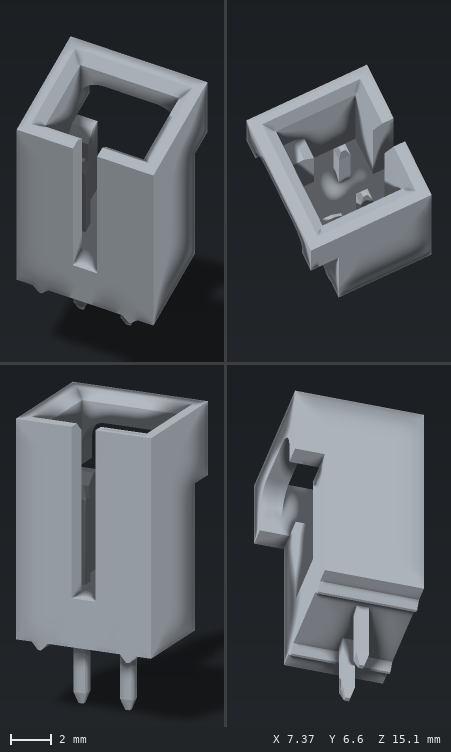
import cadquery as cq

WIDTH = 7.37
DEPTH = 6.6
HEIGHT = 11.42
OVERHANG = 1.53
HEAD_HEIGHT = 3.81
BODY_DEPTH = DEPTH - OVERHANG
LEDGE_Z = HEIGHT - HEAD_HEIGHT

CAVITY_WIDTH = 5.32
WALL = 1.13
CAVITY_DEPTH = DEPTH - 2 * WALL
FLOOR_Z = 2.54
FLARE_OUT = 0.51
FLARE_HEIGHT = 0.48

SLOT_WIDTH = 1.3
LINTEL_HEIGHT = 1.51
WINDOW_RADIUS = 1.3
WINDOW_TOP = HEIGHT - LINTEL_HEIGHT

POST_WIDTH = 1.1
POST_DEPTH = 1.15
POST_CHAMFER = 0.53

PIN_PITCH = 2.54
PIN_SIZE = 0.63
PIN_Y = 2.52
PIN_BOTTOM = HEIGHT - 15.11
PIN_TOP = 7.55
TIP_SIZE = 0.24
TIP_LENGTH = 0.6

RIB_SPACING = 4.8
RIB_WIDTH = 0.85
RIB_TIP_WIDTH = 0.15
RIB_HEIGHT = 0.4


def block(width, y_min, y_max, z_min, z_max, x_center=0):
    """Box centred on x_center, spanning the given y and z ranges."""
    return (
        cq.Workplane("XY")
        .box(width, y_max - y_min, z_max - z_min, centered=(True, False, False))
        .translate((x_center, y_min, z_min))
    )


def make_shell():
    """Stepped outer body hollowed out by the cavity and its flared mouth."""
    body = block(WIDTH, 0, BODY_DEPTH, 0, HEIGHT)
    body = body.union(block(WIDTH, 0, DEPTH, LEDGE_Z, HEIGHT))
    cavity = block(CAVITY_WIDTH, WALL, DEPTH - WALL, FLOOR_Z, HEIGHT)
    flare = (
        cq.Workplane("XY", origin=(0, DEPTH / 2, HEIGHT - FLARE_HEIGHT))
        .rect(CAVITY_WIDTH, CAVITY_DEPTH)
        .workplane(offset=FLARE_HEIGHT)
        .rect(CAVITY_WIDTH + 2 * FLARE_OUT, CAVITY_DEPTH + 2 * FLARE_OUT)
        .loft(ruled=True)
    )
    return body.cut(cavity).cut(flare)


def make_openings():
    """Front polarising slot and the round-cornered window in the back."""
    slot = block(SLOT_WIDTH, 0, WALL, FLOOR_Z, HEIGHT)
    window = block(CAVITY_WIDTH, DEPTH / 2, DEPTH, FLOOR_Z, WINDOW_TOP)
    window = window.faces(">Z").edges("|Y").fillet(WINDOW_RADIUS)
    return slot.union(window)


def make_post(side):
    """Rear corner post, with its upper front edge bevelled."""
    x_center = side * (CAVITY_WIDTH - POST_WIDTH) / 2
    post = block(POST_WIDTH, BODY_DEPTH - POST_DEPTH, BODY_DEPTH, FLOOR_Z, LEDGE_Z, x_center)
    return post.faces("<Y").edges(">Z").chamfer(POST_CHAMFER)


def make_tip(x, z_base, direction):
    """Tapered pin end pointing up (direction 1) or down (direction -1)."""
    return (
        cq.Workplane("XY", origin=(x, PIN_Y, z_base))
        .rect(PIN_SIZE, PIN_SIZE)
        .workplane(offset=direction * TIP_LENGTH)
        .rect(TIP_SIZE, TIP_SIZE)
        .loft(ruled=True)
    )


def make_pin(x):
    """Square pin through the floor, tapered at both ends."""
    shank_bottom = PIN_BOTTOM + TIP_LENGTH
    shank_top = PIN_TOP - TIP_LENGTH
    half = PIN_SIZE / 2
    shank = block(PIN_SIZE, PIN_Y - half, PIN_Y + half, shank_bottom, shank_top, x)
    return shank.union(make_tip(x, shank_bottom, -1)).union(make_tip(x, shank_top, 1))


def make_rib(x):
    """Blunt V-shaped rib running the depth of the lower body."""
    return (
        cq.Workplane("XZ")
        .moveTo(x - RIB_WIDTH / 2, 0)
        .lineTo(x - RIB_TIP_WIDTH / 2, -RIB_HEIGHT)
        .lineTo(x + RIB_TIP_WIDTH / 2, -RIB_HEIGHT)
        .lineTo(x + RIB_WIDTH / 2, 0)
        .close()
        .extrude(-BODY_DEPTH)
    )


result = make_shell().cut(make_openings())
for side in (-1, 1):
    result = result.union(make_post(side))
    result = result.union(make_pin(side * PIN_PITCH / 2))
    result = result.union(make_rib(side * RIB_SPACING / 2))